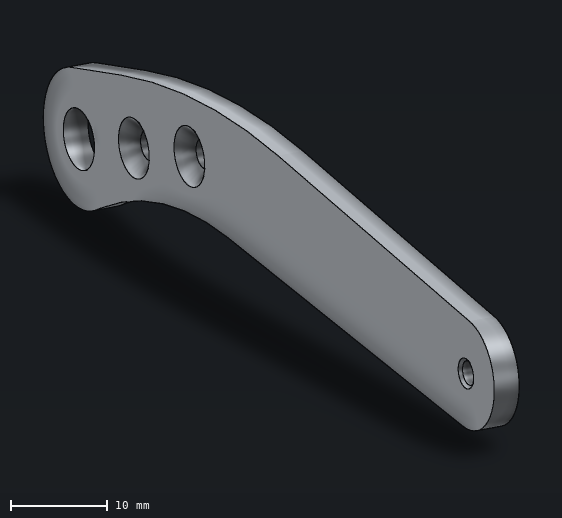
import cadquery as cq
import math

thickness = 3.0
overall_length = 95.5

head_radius = 7.5
tail_radius = 6.0
tail_x = overall_length - head_radius - tail_radius

crown_x = 29.9
crown_z = 12.2
crown_radius = 92.6
belly_x = 26.7
belly_z = -0.7
belly_radius = 47.7

pivot_diameter = 6.6

screw_spots = [(11.6, 2.7), (23.4, 5.4)]
screw_diameter = 3.15
screw_head_diameter = 6.5

tail_hole_diameter = 2.6
tail_hole_rim_diameter = 3.2

countersink_angle = 90.0

head = (0.0, 0.0, head_radius)
tail = (tail_x, 0.0, tail_radius)
crown = (crown_x, crown_z - crown_radius, crown_radius)
belly = (belly_x, belly_z - belly_radius, belly_radius)


def tangent_normal(first, second, first_reach, second_reach):
    """Upward-most unit normal of a line at the given signed distances from two centres."""
    dx = second[0] - first[0]
    dz = second[1] - first[1]
    heading = math.atan2(dz, dx)
    swing = math.acos((first_reach - second_reach) / math.hypot(dx, dz))
    normals = [(math.cos(heading + side * swing), math.sin(heading + side * swing)) for side in (-1, 1)]
    return max(normals, key=lambda normal: normal[1])


def along(circle, normal, reach):
    """Point at a signed distance from a circle's centre in the normal direction."""
    return (circle[0] + reach * normal[0], circle[1] + reach * normal[1])


def make_blank():
    """Rounded arm: head and tail rounds joined by lines tangent to the crown and belly arcs."""
    head_top = tangent_normal(head, crown, head_radius, crown_radius)
    tail_top = tangent_normal(crown, tail, crown_radius, tail_radius)
    head_bottom = tangent_normal(head, belly, -head_radius, belly_radius)
    tail_bottom = tangent_normal(belly, tail, belly_radius, -tail_radius)
    return (
        cq.Workplane("XZ")
        .moveTo(*along(head, head_top, head_radius))
        .lineTo(*along(crown, head_top, crown_radius))
        .threePointArc((crown_x, crown_z), along(crown, tail_top, crown_radius))
        .lineTo(*along(tail, tail_top, tail_radius))
        .threePointArc((tail_x + tail_radius, 0), along(tail, tail_bottom, -tail_radius))
        .lineTo(*along(belly, tail_bottom, belly_radius))
        .threePointArc((belly_x, belly_z), along(belly, head_bottom, belly_radius))
        .lineTo(*along(head, head_bottom, -head_radius))
        .threePointArc((-head_radius, 0), along(head, head_top, head_radius))
        .close()
        .extrude(thickness)
    )


def front_face(part):
    """Sketch plane on the -Y face, with its origin on the pivot axis."""
    return part.faces("<Y").workplane(origin=(0, 0, 0))


result = make_blank()
result = front_face(result).circle(pivot_diameter / 2).cutThruAll()
result = (
    front_face(result)
    .pushPoints(screw_spots)
    .cskHole(screw_diameter, screw_head_diameter, countersink_angle)
)
result = (
    front_face(result)
    .center(tail_x, 0)
    .cskHole(tail_hole_diameter, tail_hole_rim_diameter, countersink_angle)
)